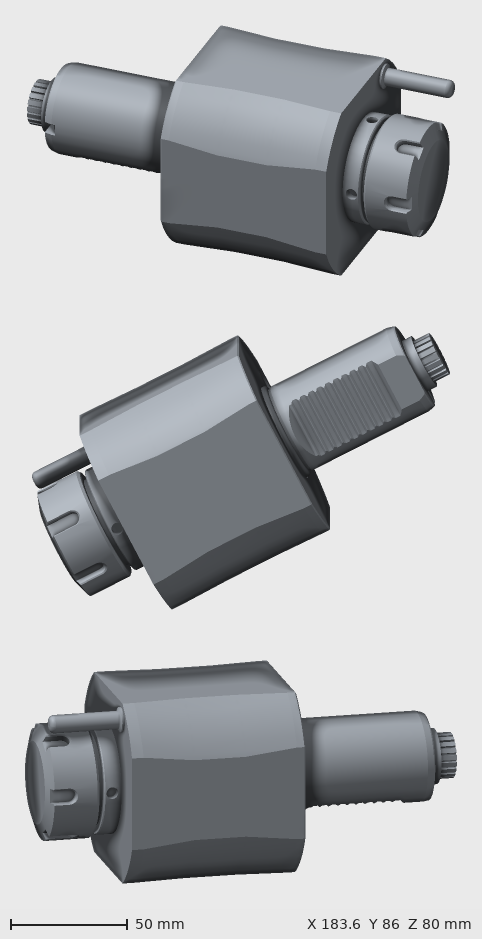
import cadquery as cq
import math


spline_length = 7.3
spline_radius = 10.0
spline_root_radius = 8.8
spline_teeth = 20
tip_share = 0.33
root_share = 0.4
collar_end = 11.8
collar_radius = 12.1

shank_radius = 20.0
shank_end = 71.2
shank_taper_length = 3.5
shank_taper_drop = 0.7
shank_edge_length = 0.5
shank_edge_drop = 0.4
neck_radius = 19.5
neck_width = 1.3
seal_radius = 21.5
seal_edge_radius = 1.7
seal_groove_radius = 22.0
seal_groove_depth = 1.0

flat_height = -16.7
ramp_start = 23.9
tooth_root_height = -14.7
tooth_tip_height = -15.6
first_tooth = 29.2
last_tooth = 65.2
tooth_tip_width = 0.4
tooth_count = 10
tooth_pitch = (last_tooth - first_tooth) / (tooth_count - 1)
runout_start = 66.1
runout_end = 69.5

slot_width = 5.1
slot_deep_length = 2.8
slot_length = 5.1
slot_step_radius = 15.2

block_start = 74.7
block_length = 76.5
block_width = 86.0
block_height = 80.0
corner_radius = 47.5
waist_diameter = 92.7
waist_radius = waist_diameter / 2
waist_start = 78.5
waist_end = 146.1
block_edge = 0.5
block_end = block_start + block_length

recess_radius = 7.5
recess_depth = 1.0
recess_y = 16.2
recess_z = 27.5

pin_y = 23.5
pin_z = 32.3
pin_diameter = 7.9
pin_radius = pin_diameter / 2
pin_end = 183.2
pin_round = 2.2
pin_flange_radius = 5.5
pin_flange_length = 1.0
pin_flange_cone = 0.7

nose_radius = 24.0
nose_end = 158.8
nose_edge = 0.45
nose_neck_radius = 20.4
nose_hole_x = 155.3
nose_hole_radius = 2.5
nose_hole_depth = 3.7
nose_hole_count = 4

nut_start = 161.0
nut_end = 183.6
nut_diameter = 50.5
nut_radius = nut_diameter / 2
nut_edge = 1.1
nut_cone_length = 2.5
nut_face_radius = 18.0
nut_slot_count = 6
nut_slot_width = 6.2
nut_slot_chamfer = 0.7
nut_slot_start = 171.5
nut_long_slots = (1, 2)
nut_long_slot_start = 167.8
nut_slot_floor = 21.7


def cylinder(start, end, radius, y=0.0, z=0.0):
    """Cylinder along X between two stations."""
    return cq.Workplane("YZ", origin=(start, y, z)).circle(radius).extrude(end - start)


def box(x_range, y_range, z_range):
    """Axis-aligned box given by its lower and upper limits."""
    ranges = (x_range, y_range, z_range)
    sizes = [high - low for low, high in ranges]
    lows = tuple(low for low, high in ranges)
    return cq.Workplane("XY").box(*sizes, centered=False).translate(lows)


def turned(profile):
    """Solid of revolution about X from an (x, radius) profile that closes on the axis."""
    first_x, last_x = profile[0][0], profile[-1][0]
    points = [(first_x, 0), *profile, (last_x, 0)]
    return cq.Workplane("XY").polyline(points).close().revolve(360, (0, 0, 0), (1, 0, 0))


def make_spline():
    """Splined drive stub with tapered straight-sided teeth and the plain collar behind it."""
    pitch_angle = 2 * math.pi / spline_teeth
    corners = (
        (-root_share, spline_root_radius),
        (-tip_share, spline_radius),
        (tip_share, spline_radius),
        (root_share, spline_root_radius),
    )
    outline = []
    for tooth in range(spline_teeth):
        for share, radius in corners:
            angle = (tooth + 0.5 + share) * pitch_angle
            outline.append((radius * math.cos(angle), radius * math.sin(angle)))
    spline = cq.Workplane("YZ").polyline(outline).close().extrude(spline_length)
    return spline.union(cylinder(spline_length, collar_end + slot_deep_length, collar_radius))


def make_shank():
    """Round shank with tapered front, neck and rounded seal ring."""
    taper_radius = shank_radius - shank_taper_drop
    shank = turned([
        (collar_end, taper_radius - shank_edge_drop),
        (collar_end + shank_edge_length, taper_radius),
        (collar_end + shank_taper_length, shank_radius),
        (shank_end, shank_radius),
    ])
    seal_start = shank_end + neck_width
    seat = block_start + seal_groove_depth
    neck = cylinder(shank_end, seat, neck_radius)
    seal = cylinder(seal_start, seat, seal_radius).faces("<X").edges().fillet(seal_edge_radius)
    return shank.union(neck).union(seal)


def serration_cutter():
    """Material removed below the shank: flat, row of teeth and sloped runout."""
    tooth_height = tooth_root_height - tooth_tip_height
    half_tip = tooth_tip_width / 2
    half_root = half_tip + tooth_height
    below = -2 * shank_radius
    points = [
        (0, below),
        (0, flat_height),
        (ramp_start, flat_height),
        (ramp_start + tooth_root_height - flat_height, tooth_root_height),
    ]
    for tooth in range(tooth_count):
        x = first_tooth + tooth * tooth_pitch
        points += [
            (x - half_root, tooth_root_height),
            (x - half_tip, tooth_tip_height),
            (x + half_tip, tooth_tip_height),
            (x + half_root, tooth_root_height),
        ]
    points[-1] = (runout_start, tooth_tip_height)
    points += [(runout_end, -shank_radius), (runout_end, below)]
    return cq.Workplane("XZ").polyline(points).close().extrude(shank_radius, both=True)


def key_slot_cutter():
    """Stepped key slot on the -Y side, open down to the collar in front and shallower behind."""
    half_width = slot_width / 2
    z_range = (-half_width, half_width)
    deep = box((collar_end, collar_end + slot_deep_length), (-shank_radius, -spline_radius), z_range)
    shallow = box((collar_end, collar_end + slot_length), (-shank_radius, -slot_step_radius), z_range)
    return deep.union(shallow)


def make_block():
    """Rectangular block whose long corners lie on a waisted round envelope."""
    block = box(
        (block_start, block_end),
        (-block_width / 2, block_width / 2),
        (-block_height / 2, block_height / 2),
    )
    waist_middle = (waist_start + waist_end) / 2
    envelope = (
        cq.Workplane("XY")
        .moveTo(block_start, 0)
        .lineTo(block_start, corner_radius - block_edge)
        .lineTo(block_start + block_edge, corner_radius)
        .lineTo(waist_start, corner_radius)
        .threePointArc((waist_middle, waist_radius), (waist_end, corner_radius))
        .lineTo(block_end, corner_radius)
        .lineTo(block_end, 0)
        .close()
        .revolve(360, (0, 0, 0), (1, 0, 0))
    )
    block = block.faces("<X").chamfer(block_edge).intersect(envelope)
    recess = cylinder(block_start, block_start + recess_depth, recess_radius, recess_y, recess_z)
    groove = cylinder(block_start, block_start + seal_groove_depth, seal_groove_radius)
    return block.cut(recess).cut(groove)


def make_pin():
    """Round-ended coolant pin standing on a small conical flange."""
    pin = cylinder(block_end, pin_end, pin_radius).faces(">X").edges().fillet(pin_round)
    cone_start = block_end + pin_flange_length
    flange = turned([
        (block_end, pin_flange_radius),
        (cone_start, pin_flange_radius),
        (cone_start + pin_flange_cone, pin_radius),
    ])
    return pin.union(flange).translate((0, pin_y, pin_z))


def make_nose():
    """Spindle nose with radial holes and the neck that carries the nut."""
    nose = cylinder(block_end, nose_end, nose_radius).faces(">X").chamfer(nose_edge)
    nose = nose.union(cylinder(nose_end, nut_start, nose_neck_radius))
    hole = (
        cq.Workplane("XY", origin=(nose_hole_x, 0, nose_radius - nose_hole_depth))
        .circle(nose_hole_radius)
        .extrude(2 * nose_hole_depth)
    )
    for index in range(nose_hole_count):
        nose = nose.cut(hole.rotate((0, 0, 0), (1, 0, 0), index * 360 / nose_hole_count))
    return nose


def nut_slot_cutter(start):
    """Round-ended, flat-bottomed wrench slot on the -Y side, open at the nut face, with chamfered rim."""
    half_width = nut_slot_width / 2
    end_centre = start + half_width
    chamfer_floor = nut_radius - nut_slot_chamfer

    def outline(depth_radius):
        return (
            cq.Workplane("XZ", origin=(0, -depth_radius, 0))
            .moveTo(end_centre, half_width)
            .threePointArc((start, 0), (end_centre, -half_width))
            .lineTo(nut_end, -half_width)
            .lineTo(nut_end, half_width)
            .close()
        )

    slot = outline(nut_slot_floor).extrude(nut_radius - nut_slot_floor)
    rim = outline(chamfer_floor).extrude(nut_slot_chamfer, taper=-45)
    return slot.union(rim)


def make_nut():
    """Clamping nut with coned face and wrench slots; the two lower slots run further back."""
    nut = turned([
        (nut_start, nut_radius - nut_edge),
        (nut_start + nut_edge, nut_radius),
        (nut_end - nut_cone_length, nut_radius),
        (nut_end, nut_face_radius),
    ])
    for index in range(nut_slot_count):
        start = nut_long_slot_start if index in nut_long_slots else nut_slot_start
        slot = nut_slot_cutter(start)
        nut = nut.cut(slot.rotate((0, 0, 0), (1, 0, 0), index * 360 / nut_slot_count))
    return nut


shank = make_shank().cut(serration_cutter()).cut(key_slot_cutter())
result = (
    make_block()
    .union(shank)
    .union(make_spline())
    .union(make_pin())
    .union(make_nose())
    .union(make_nut())
)